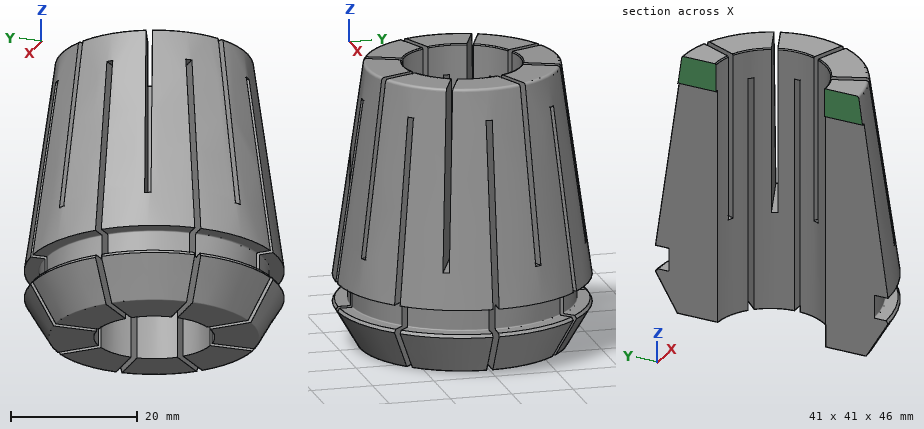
import cadquery as cq
import math

length = 46.0
outer_diameter = 41.0
bore_diameter = 19.05

cone_bottom_z = 11.15
cone_half_angle = 8.0
top_edge_round = 0.5
bore_edge_chamfer = 0.2

groove_diameter = 36.2
groove_bottom_z = 7.1
flange_bevel_height = 0.5
flange_lip_diameter = 40.3
bottom_diameter = 33.25
small_round = 0.2

slots_per_set = 8
slot_pitch = 360.0 / slots_per_set
slot_width = 1.0
top_slot_depth = 29.0
bottom_slot_depth = 41.0


def collet_body():
    """Revolve the outer profile about Z, soften its corners, then bore it through."""
    cone_height = length - cone_bottom_z
    cone_top_radius = outer_diameter / 2 - cone_height * math.tan(math.radians(cone_half_angle))
    flange_edge_z = groove_bottom_z - flange_bevel_height
    body = (
        cq.Workplane("XZ")
        .moveTo(0, 0)
        .lineTo(bottom_diameter / 2, 0)
        .lineTo(outer_diameter / 2, flange_edge_z)
        .lineTo(flange_lip_diameter / 2, groove_bottom_z)
        .lineTo(groove_diameter / 2, groove_bottom_z)
        .lineTo(groove_diameter / 2, cone_bottom_z)
        .lineTo(outer_diameter / 2, cone_bottom_z)
        .lineTo(cone_top_radius, length)
        .lineTo(0, length)
        .close()
        .revolve(360, (0, 0, 0), (0, 1, 0))
    )
    body = body.faces(">Z").edges().fillet(top_edge_round)
    body = body.faces("<Z").edges().fillet(small_round)

    innermost = cq.selectors.RadiusNthSelector(0)
    groove_zone = cq.selectors.BoxSelector(
        (-outer_diameter, -outer_diameter, groove_bottom_z - small_round),
        (outer_diameter, outer_diameter, cone_bottom_z + small_round),
    )
    body = body.edges(groove_zone).edges(innermost).fillet(small_round)

    body = body.faces(">Z").workplane().hole(bore_diameter)
    return body.faces(">Z").edges(innermost).chamfer(bore_edge_chamfer)


def slot_set(bottom_z, depth, first_angle):
    """Radial slots of one set; each blade spans the diameter and makes two opposite slots."""
    blade = cq.Workplane("XY").box(outer_diameter, slot_width, depth, centered=(True, True, False))
    blade = blade.translate((0, 0, bottom_z))
    slots = cq.Workplane("XY")
    for index in range(slots_per_set // 2):
        angle = first_angle + index * slot_pitch
        slots = slots.add(blade.rotate((0, 0, 0), (0, 0, 1), angle))
    return slots.combine()


bottom_slots = slot_set(0, bottom_slot_depth, 0)
top_slots = slot_set(length - top_slot_depth, top_slot_depth, slot_pitch / 2)

result = collet_body().cut(bottom_slots).cut(top_slots)